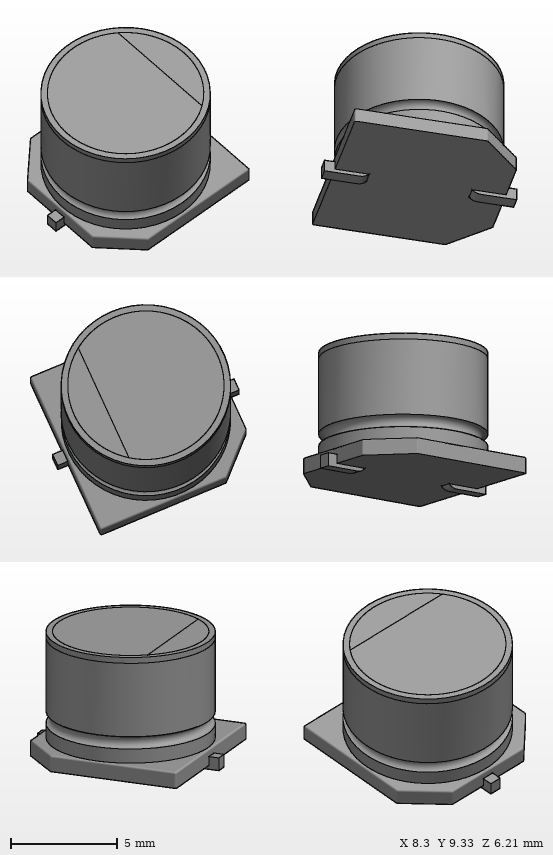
import cadquery as cq
import math

base_width = 8.3
base_bottom = 0.2
base_top = 0.98
corner_cut = 1.85
base_edge_radius = 0.09

can_radius = 7.99 / 2
can_top = 6.21
groove_radius = 0.3
groove_height = 1.98

rim_width = 0.31
rim_height = 0.29
rim_bottom = can_top - rim_height
rim_inner_radius = can_radius - rim_width
mark_edge_y = 2.17

lead_width = 0.61
lead_height = 0.63
lead_tip_y = 4.665
lead_inner_y = 2.34
lead_bend_radius = 0.6


def make_lead(side):
    """Lead on the +Y (side = 1) or -Y (side = -1) half, with a rounded lower inner edge."""
    bend_center_y = lead_inner_y + lead_bend_radius
    bend_offset = lead_bend_radius * math.sqrt(0.5)
    bend_middle = (side * (bend_center_y - bend_offset), lead_bend_radius - bend_offset)
    return (
        cq.Workplane("YZ")
        .moveTo(side * lead_tip_y, 0)
        .lineTo(side * bend_center_y, 0)
        .threePointArc(bend_middle, (side * lead_inner_y, lead_bend_radius))
        .lineTo(side * lead_inner_y, lead_height)
        .lineTo(side * lead_tip_y, lead_height)
        .close()
        .extrude(lead_width / 2, both=True)
    )


def make_base(leads):
    """Square plate with two cut corners, rounded edges and a recess for each lead."""
    base = (
        cq.Workplane("XY", origin=(0, 0, base_bottom))
        .rect(base_width, base_width)
        .extrude(base_top - base_bottom)
        .edges("|Z and <Y")
        .chamfer(corner_cut)
        .edges("not <Z")
        .fillet(base_edge_radius)
    )
    for lead in leads:
        base = base.cut(lead)
    return base


def make_rim():
    """Ring seated in a step around the top edge of the can."""
    return (
        cq.Workplane("XY", origin=(0, 0, rim_bottom))
        .circle(can_radius)
        .circle(rim_inner_radius)
        .extrude(rim_height)
    )


def make_mark():
    """Circular segment inside the rim, on the +Y side."""
    mark_half_length = math.sqrt(rim_inner_radius**2 - mark_edge_y**2)
    return (
        cq.Workplane("XY", origin=(0, 0, rim_bottom))
        .moveTo(-mark_half_length, mark_edge_y)
        .threePointArc((0, rim_inner_radius), (mark_half_length, mark_edge_y))
        .close()
        .extrude(rim_height)
    )


def make_can(rim, mark):
    """Solid round can with a half-round groove and seats for the rim and the mark."""
    can = (
        cq.Workplane("XZ")
        .moveTo(0, base_top)
        .lineTo(can_radius, base_top)
        .lineTo(can_radius, groove_height - groove_radius)
        .threePointArc(
            (can_radius - groove_radius, groove_height),
            (can_radius, groove_height + groove_radius),
        )
        .lineTo(can_radius, can_top)
        .lineTo(0, can_top)
        .close()
        .revolve(360, (0, 0, 0), (0, 1, 0))
    )
    return can.cut(rim).cut(mark)


leads = [make_lead(side) for side in (-1, 1)]
base = make_base(leads)
rim = make_rim()
mark = make_mark()
can = make_can(rim, mark)

result = cq.Compound.makeCompound(
    [base.solids().val(), can.solids().val(), rim.val(), mark.val(), *[lead.val() for lead in leads]]
)